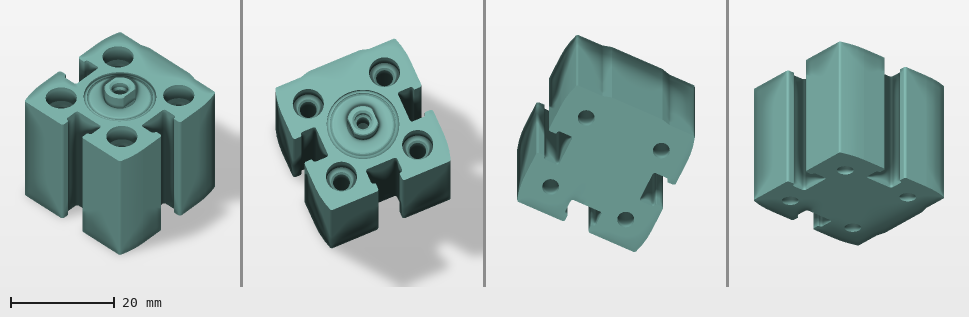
import cadquery as cq
import math

HALF_SIDE = 13.5
BACK_Y = 14.0
HOUSING_LENGTH = 24.5
ROD_PROJECTION = 2.5

FLAT_HALF = 8.0
SIDE_CURVE_RADIUS = 16.5
PAD_TOP_HALF = 5.35
PAD_BASE_HALF = 7.18
EDGE_FILLET = 0.5

SLOT_NECK = 5.0
SLOT_WIDTH = 6.52
SLOT_FLOOR = 8.6
SLOT_LIP = 11.8
SLOT_LIP_FILLET = 0.22
SLOT_TURNS = (-90, 0, 180)

HOLE_OFFSET = 8.0
HOLE_DIAMETER = 3.25
HOLE_COUNTERSINK = 4.0
COUNTERBORE_DIAMETER = 6.0
COUNTERBORE_DEPTH = 3.5

RECESS_DIAMETER = 14.0
RECESS_DEPTH = 0.58
RING_INNER_DIAMETER = 12.8
RING_TOP_DEPTH = 0.22
STEP_DIAMETER = 12.45
STEP_DEPTH = 0.55
CAP_SHOULDER_DIAMETER = 11.77
CAP_SHOULDER_DEPTH = 0.25
CAP_FACE_DIAMETER = 11.33
CAP_FACE_DEPTH = 0.2
ROD_HOLE_CHAMFER = 0.16

ROD_DIAMETER = 6.0
ROD_LENGTH = 13.75
ROD_FLATS = 5.0
FLAT_RUNOUT_SLOPE = math.tan(math.radians(30))
ROD_CHAMFER = 0.2
ROD_MOUTH_DIAMETER = 4.12
ROD_COUNTERBORE_DIAMETER = 3.3
ROD_COUNTERBORE_DEPTH = 1.45
ROD_LEDGE_DIAMETER = 3.14
THREAD_DIAMETER = 2.45
THREAD_DEPTH = 5.5
DRILL_HALF_ANGLE = math.radians(59)


def cone_height(large_diameter, small_diameter):
    """Height of a 45 degree cone between two diameters."""
    return (large_diameter - small_diameter) / 2


def turned(points):
    """Solid of revolution about Z from (radius, z) points."""
    return cq.Workplane("XZ").polyline(points).close().revolve(360, (0, 0), (0, 1))


def housing_blank():
    rise = HALF_SIDE - FLAT_HALF
    corner_x = HALF_SIDE - SIDE_CURVE_RADIUS + math.sqrt(SIDE_CURVE_RADIUS**2 - rise**2)
    outline = (
        cq.Workplane("XY").workplane(offset=-HOUSING_LENGTH)
        .moveTo(-corner_x, -HALF_SIDE)
        .lineTo(corner_x, -HALF_SIDE)
        .radiusArc((HALF_SIDE, -FLAT_HALF), -SIDE_CURVE_RADIUS)
        .lineTo(HALF_SIDE, FLAT_HALF)
        .radiusArc((corner_x, HALF_SIDE), -SIDE_CURVE_RADIUS)
        .lineTo(PAD_BASE_HALF, HALF_SIDE)
        .lineTo(PAD_TOP_HALF, BACK_Y)
        .lineTo(-PAD_TOP_HALF, BACK_Y)
        .lineTo(-PAD_BASE_HALF, HALF_SIDE)
        .lineTo(-corner_x, HALF_SIDE)
        .radiusArc((-HALF_SIDE, FLAT_HALF), -SIDE_CURVE_RADIUS)
        .lineTo(-HALF_SIDE, -FLAT_HALF)
        .radiusArc((-corner_x, -HALF_SIDE), -SIDE_CURVE_RADIUS)
        .close()
    )
    blank = outline.extrude(HOUSING_LENGTH)
    for x in (-corner_x, corner_x):
        for y in (-HALF_SIDE, HALF_SIDE):
            corner = cq.selectors.NearestToPointSelector((x, y, -HOUSING_LENGTH / 2))
            blank = blank.edges("|Z").edges(corner).fillet(EDGE_FILLET)
    return blank


def block(x_start, x_end, width):
    """Full-length block reaching along X, centred on Y."""
    return (
        cq.Workplane("XY")
        .box(x_end - x_start, width, HOUSING_LENGTH, centered=(False, True, False))
        .translate((x_start, 0, -HOUSING_LENGTH))
    )


def slot():
    """T-slot for the +X side; its flared mouth rounds the outer lip corners."""
    neck_half = SLOT_NECK / 2
    mouth_half = neck_half + EDGE_FILLET
    mouth_start = HALF_SIDE - EDGE_FILLET
    chamber = block(SLOT_FLOOR, SLOT_LIP, SLOT_WIDTH).edges("|Z").fillet(EDGE_FILLET)
    neck = block(SLOT_FLOOR + EDGE_FILLET, HALF_SIDE, SLOT_NECK)
    mouth = (
        cq.Workplane("XY").workplane(offset=-HOUSING_LENGTH)
        .moveTo(mouth_start, -neck_half)
        .radiusArc((HALF_SIDE, -mouth_half), EDGE_FILLET)
        .lineTo(HALF_SIDE, mouth_half)
        .radiusArc((mouth_start, neck_half), EDGE_FILLET)
        .close()
        .extrude(HOUSING_LENGTH)
    )
    lip_edges = cq.selectors.BoxSelector(
        (SLOT_LIP - SLOT_LIP_FILLET, -mouth_half, -HOUSING_LENGTH),
        (SLOT_LIP + SLOT_LIP_FILLET, mouth_half, 0),
    )
    return chamber.union(neck).edges("|Z").edges(lip_edges).fillet(SLOT_LIP_FILLET).union(mouth)


def mounting_hole():
    """Through hole with a countersunk edge below a counterbore, on the Z axis."""
    hole = HOLE_DIAMETER / 2
    sink = HOLE_COUNTERSINK / 2
    bore = COUNTERBORE_DIAMETER / 2
    sink_end = -COUNTERBORE_DEPTH - cone_height(HOLE_COUNTERSINK, HOLE_DIAMETER)
    return turned([
        (0, 0), (bore, 0), (bore, -COUNTERBORE_DEPTH), (sink, -COUNTERBORE_DEPTH),
        (hole, sink_end), (hole, -HOUSING_LENGTH), (0, -HOUSING_LENGTH),
    ])


def cap_recess():
    """Space in front of the cap, including the ring groove around it."""
    return turned([
        (0, 0),
        (RECESS_DIAMETER / 2, 0),
        (RECESS_DIAMETER / 2, -RECESS_DEPTH),
        (RING_INNER_DIAMETER / 2, -RING_TOP_DEPTH),
        (RING_INNER_DIAMETER / 2, -STEP_DEPTH),
        (STEP_DIAMETER / 2, -STEP_DEPTH),
        (CAP_SHOULDER_DIAMETER / 2, -CAP_SHOULDER_DEPTH),
        (CAP_FACE_DIAMETER / 2, -CAP_FACE_DEPTH),
        (0, -CAP_FACE_DEPTH),
    ])


def rod_bore():
    """Blind bore that holds the rod, with a chamfered mouth in the cap face."""
    radius = ROD_DIAMETER / 2
    return turned([
        (0, -CAP_FACE_DEPTH),
        (radius + ROD_HOLE_CHAMFER, -CAP_FACE_DEPTH),
        (radius, -CAP_FACE_DEPTH - ROD_HOLE_CHAMFER),
        (radius, ROD_PROJECTION - ROD_LENGTH),
        (0, ROD_PROJECTION - ROD_LENGTH),
    ])


def make_housing():
    body = housing_blank()
    for turn in SLOT_TURNS:
        body = body.cut(slot().rotate((0, 0, 0), (0, 0, 1), turn))
    for x in (-HOLE_OFFSET, HOLE_OFFSET):
        for y in (-HOLE_OFFSET, HOLE_OFFSET):
            body = body.cut(mounting_hole().translate((x, y, 0)))
    return body.cut(cap_recess()).cut(rod_bore())


def thread_hole():
    """Blind hole in the rod end: countersink, counterbore, cone, core hole and drill point."""
    mouth = ROD_MOUTH_DIAMETER / 2
    bore = ROD_COUNTERBORE_DIAMETER / 2
    core = THREAD_DIAMETER / 2
    top = ROD_PROJECTION
    return turned([
        (0, top),
        (mouth, top),
        (bore, top - cone_height(ROD_MOUTH_DIAMETER, ROD_COUNTERBORE_DIAMETER)),
        (bore, top - ROD_COUNTERBORE_DEPTH),
        (ROD_LEDGE_DIAMETER / 2, top - ROD_COUNTERBORE_DEPTH),
        (core, top - ROD_COUNTERBORE_DEPTH - cone_height(ROD_LEDGE_DIAMETER, THREAD_DIAMETER)),
        (core, top - THREAD_DEPTH),
        (0, top - THREAD_DEPTH - core / math.tan(DRILL_HALF_ANGLE)),
    ])


def rod_flat():
    """Cutter for the +X wrench flat, running out downwards at a slope."""
    inner = ROD_FLATS / 2
    outer = ROD_DIAMETER
    flat_end = -CAP_FACE_DEPTH
    return (
        cq.Workplane("XZ")
        .moveTo(inner, ROD_PROJECTION)
        .lineTo(outer, ROD_PROJECTION)
        .lineTo(outer, flat_end - (outer - inner) * FLAT_RUNOUT_SLOPE)
        .lineTo(inner, flat_end)
        .close()
        .extrude(ROD_DIAMETER, both=True)
    )


def make_rod():
    rod = (
        cq.Workplane("XY").workplane(offset=ROD_PROJECTION - ROD_LENGTH)
        .circle(ROD_DIAMETER / 2).extrude(ROD_LENGTH)
        .faces(">Z").edges().chamfer(ROD_CHAMFER)
    )
    for turn in (0, 180):
        rod = rod.cut(rod_flat().rotate((0, 0, 0), (0, 0, 1), turn))
    return rod.cut(thread_hole())


housing = make_housing()
rod = make_rod()

result = cq.Compound.makeCompound([housing.solids().val(), rod.solids().val()])